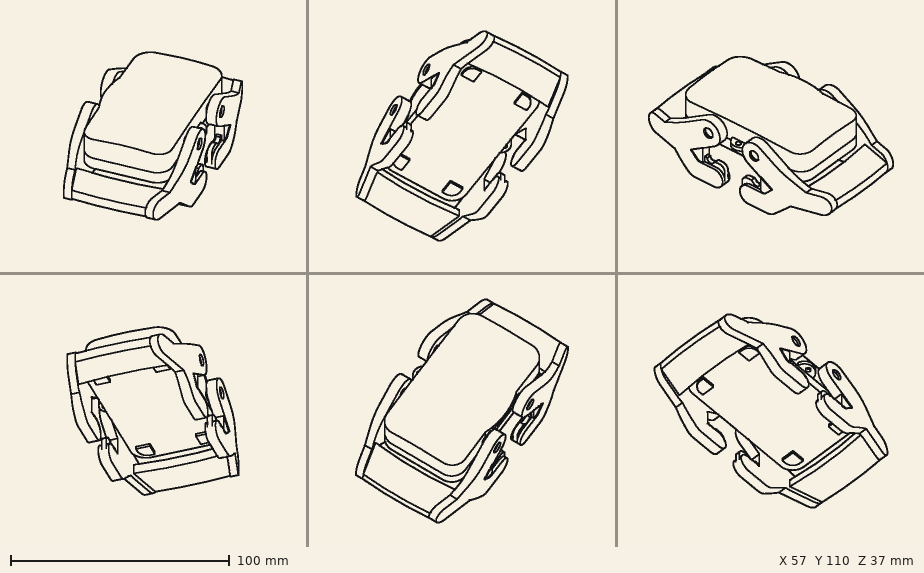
import cadquery as cq
import math


cover_width = 42.9
cover_length = 73.5
corner_radius = 7.5
seam_z = 24.8
base_bottom_z = 19.0
crown_top_z = 37.0
crown_radius_x = 160.6
crown_radius_y = 682.0

lip_depth = 2.2
lip_half_length = 12.8
lip_cove_radius = 4.4
lip_root_z = 29.8

eyelet_radius = 5.1
eyelet_reach = 4.6
eyelet_hole_offset = 1.9
eyelet_hole_diameter = 2.4
eyelet_thickness = 2.0

feet_outer_width = 35.8
feet_inset = (cover_width - feet_outer_width) / 2
feet_outer_length = cover_length - 2 * feet_inset
foot_size = 6.7
foot_corner_radius = 4.7
foot_height = 1.3

hinge_y = 13.5
hinge_z = 29.0
pin_diameter = 4.1
recess_diameter = 5.3
recess_depth = 1.1

boss_radius = 6.9
arm_angle = math.radians(31.5)
handle_radius = 5.2
handle_z = 14.6
handle_end_y = 54.2
hook_tip_y = 5.1
hook_height = 10.1
throat_y = 24.0
heel_fillet = 6.6
heel_slope_bottom_y = 23.6
heel_slope_top_y = 34.3
throat_fillet = 2.2

lever_width = 57.0
lever_wall = 5.1
sweep_angle = math.radians(15.0)
outer_bend_y = 30.1
outer_bend_radius = 35.2
inner_bend_y = 34.4
inner_bend_radius = 33.0

web_thickness = 2.3
web_inset = 1.6
web_top_z = 12.9
web_corner_radius = 3.3
throat_wall_y = 17.2
throat_wall_inset = 0.4
notch_radius = 2.0

bar_thickness = 4.8
bar_inner_y = 38.1
bar_outer_y = 55.0
bar_bow_radius = 220.0

hook_radius = hook_height / 2
oversize = 2 * bar_outer_y


def rounded_block(width, length, radius, bottom, height):
    block = cq.Workplane("XY").workplane(offset=bottom).rect(width, length).extrude(height)
    return block.edges("|Z").fillet(radius)


def crown_envelope():
    """Space under the doubly curved crown: an arc across X swept around an axis parallel to X."""
    half = lever_width / 2
    drop = crown_radius_x - math.sqrt(crown_radius_x**2 - half**2)
    half_sweep = math.degrees(math.asin(cover_length / crown_radius_y))
    profile = (
        cq.Workplane("XZ")
        .moveTo(-half, 0)
        .lineTo(-half, crown_top_z - drop)
        .threePointArc((0, crown_top_z), (half, crown_top_z - drop))
        .lineTo(half, 0)
        .close()
    )
    axis_z = crown_top_z - crown_radius_y
    turned = profile.revolve(2 * half_sweep, (0, axis_z, 0), (1, axis_z, 0))
    return turned.rotate((0, 0, axis_z), (1, 0, axis_z), -half_sweep)


def finger_lip():
    """Bowed lip along the top edge, with a concave cove beneath it."""
    wall_x = -cover_width / 2
    bow = (
        cq.Workplane("XY")
        .moveTo(wall_x, -lip_half_length)
        .threePointArc((wall_x - lip_depth, 0), (wall_x, lip_half_length))
        .close()
        .extrude(crown_top_z)
    )
    cove_x = wall_x - lip_cove_radius
    cove = (
        cq.Workplane("XZ").workplane(offset=-lip_half_length)
        .center(cove_x, lip_root_z)
        .circle(lip_cove_radius)
        .extrude(2 * lip_half_length)
    )
    below = cq.Workplane("XY").box(oversize, oversize, lip_root_z, centered=(True, True, False))
    return bow.cut(cove).cut(below)


def eyelet():
    wall_x = cover_width / 2
    disc_x = wall_x + eyelet_reach - eyelet_radius
    plate = (
        cq.Workplane("XY").workplane(offset=seam_z)
        .center(disc_x, 0)
        .circle(eyelet_radius)
        .extrude(eyelet_thickness)
    )
    hole = (
        cq.Workplane("XY").workplane(offset=seam_z)
        .center(wall_x + eyelet_hole_offset, 0)
        .circle(eyelet_hole_diameter / 2)
        .extrude(eyelet_thickness)
    )
    return plate, hole


def make_cover():
    shell = rounded_block(cover_width, cover_length, corner_radius, seam_z, crown_top_z - seam_z)
    plate, hole = eyelet()
    return shell.union(finger_lip()).intersect(crown_envelope()).union(plate).cut(hole)


def lever_profile():
    """Side outline of a lever in the YZ plane: hinge boss, arm, handle and hook."""
    normal_y = boss_radius * math.sin(arm_angle)
    normal_z = boss_radius * math.cos(arm_angle)
    slope = math.tan(arm_angle)
    handle_top = handle_z + handle_radius
    handle_bottom = handle_z - handle_radius
    handle_root_y = hinge_y + normal_y + (hinge_z + normal_z - handle_top) / slope
    handle_center_y = handle_end_y - handle_radius
    throat_z = hinge_z - normal_z - (throat_y - hinge_y + normal_y) * slope
    throat_floor_y = throat_y - (throat_z - hook_height)
    hook_center_y = hook_tip_y + hook_radius
    outline = (
        cq.Workplane("YZ")
        .moveTo(hinge_y + normal_y, hinge_z + normal_z)
        .lineTo(handle_root_y, handle_top)
        .lineTo(handle_center_y, handle_top)
        .threePointArc((handle_end_y, handle_z), (handle_center_y, handle_bottom))
        .lineTo(heel_slope_top_y, handle_bottom)
        .lineTo(heel_slope_bottom_y, 0)
        .lineTo(hook_center_y, 0)
        .threePointArc((hook_tip_y, hook_radius), (hook_center_y, hook_height))
        .lineTo(throat_floor_y, hook_height)
        .lineTo(throat_y, throat_z)
        .lineTo(hinge_y - normal_y, hinge_z - normal_z)
        .threePointArc(
            (hinge_y - normal_z, hinge_z + normal_y),
            (hinge_y + normal_y, hinge_z + normal_z),
        )
        .close()
        .extrude(lever_width / 2, both=True)
    )
    heel = cq.selectors.NearestToPointSelector((0, heel_slope_bottom_y, 0))
    throat = cq.selectors.NearestToPointSelector((0, throat_floor_y, hook_height))
    return outline.edges(heel).fillet(heel_fillet).edges(throat).fillet(throat_fillet)


def lever_plan(half_width, bend_y, bend_radius):
    """Area between two mirrored wall faces that run straight, then lean inward past a smooth bend."""
    end_x = half_width - (oversize - bend_y) * math.tan(sweep_angle)
    far = [(end_x, oversize), (-end_x, oversize)]
    near = [(-half_width, bend_y), (-half_width, 0), (half_width, 0), (half_width, bend_y)]
    area = cq.Workplane("XY").polyline(near + far).close().extrude(crown_top_z)
    for side in (-1, 1):
        bend = cq.selectors.NearestToPointSelector((side * half_width, bend_y, crown_top_z / 2))
        area = area.edges(bend).fillet(bend_radius)
    return area


def throat_plate(side, inset, thickness):
    """Sketch plane on the inner side of a plate that lies `inset` below the lever's outer face."""
    start_x = lever_width / 2 - inset - thickness
    return cq.Workplane("YZ").workplane(offset=side * start_x)


def catch_web(side):
    """Thin web in the hook throat, with a notch and a 45 degree lead-in for the locking stud."""
    diagonal = notch_radius * math.sqrt(0.5)
    corner_reach = web_corner_radius * (1 - math.sqrt(0.5))
    return (
        throat_plate(side, web_inset, web_thickness)
        .moveTo(hook_tip_y, hook_radius)
        .lineTo(hook_tip_y, web_top_z - web_corner_radius)
        .threePointArc(
            (hook_tip_y + corner_reach, web_top_z - corner_reach),
            (hook_tip_y + web_corner_radius, web_top_z),
        )
        .lineTo(hinge_y - 2 * diagonal, web_top_z)
        .lineTo(hinge_y - diagonal, web_top_z - diagonal)
        .threePointArc(
            (hinge_y + diagonal, web_top_z - diagonal),
            (hinge_y + notch_radius, web_top_z),
        )
        .lineTo(throat_wall_y, web_top_z)
        .lineTo(throat_wall_y, hook_radius)
        .close()
        .extrude(side * web_thickness)
    )


def throat_wall(side):
    """Wall filling the back of the throat, slightly below the outer face of the lever."""
    thickness = lever_wall - throat_wall_inset
    return (
        throat_plate(side, throat_wall_inset, thickness)
        .moveTo(throat_wall_y, hook_radius)
        .lineTo(throat_y, hook_radius)
        .lineTo(throat_y, hinge_z - boss_radius)
        .lineTo(throat_wall_y, hinge_z - boss_radius)
        .close()
        .extrude(side * thickness)
    )


def handle_bar(span_area):
    """Bar bowed in plan; its outer edge has the same rounding as the handle ends."""
    half = bar_thickness / 2
    edge_y = bar_outer_y - handle_radius + math.sqrt(handle_radius**2 - half**2)
    axis_y = bar_outer_y - bar_bow_radius
    half_sweep = math.degrees(math.asin(lever_width / 2 / bar_bow_radius))
    bar = (
        cq.Workplane("YZ")
        .moveTo(bar_inner_y, handle_z - half)
        .lineTo(edge_y, handle_z - half)
        .threePointArc((bar_outer_y, handle_z), (edge_y, handle_z + half))
        .lineTo(bar_inner_y, handle_z + half)
        .close()
        .revolve(2 * half_sweep, (axis_y, 0, 0), (axis_y, 1, 0))
        .rotate((0, axis_y, 0), (0, axis_y, 1), -half_sweep)
    )
    return bar.intersect(span_area)


def hinge_cylinder(diameter, start_x, length):
    return (
        cq.Workplane("YZ").workplane(offset=start_x)
        .center(hinge_y, hinge_z)
        .circle(diameter / 2)
        .extrude(length)
    )


def make_lever():
    """The lever on the +Y side, with the hinge pins that carry it."""
    inner_half = lever_width / 2 - lever_wall
    outer_area = lever_plan(lever_width / 2, outer_bend_y, outer_bend_radius)
    inner_area = lever_plan(inner_half, inner_bend_y, inner_bend_radius)
    lever = lever_profile().intersect(outer_area).cut(inner_area)
    lever = lever.union(handle_bar(inner_area))
    pin_length = inner_half - cover_width / 2
    recess_x = lever_width / 2 - recess_depth
    for side in (-1, 1):
        lever = lever.union(catch_web(side)).union(throat_wall(side))
        lever = lever.union(hinge_cylinder(pin_diameter, side * cover_width / 2, side * pin_length))
        lever = lever.cut(hinge_cylinder(recess_diameter, side * recess_x, side * recess_depth))
    return lever


def make_latched_cover():
    lever = make_lever()
    return make_cover().union(lever).union(lever.mirror("XZ"))


def make_base():
    """Base plate under the cover, with a foot below each corner."""
    height = seam_z - base_bottom_z
    base = rounded_block(cover_width, cover_length, corner_radius, base_bottom_z, height)
    foot_z = base_bottom_z - foot_height
    feet = rounded_block(feet_outer_width, feet_outer_length, foot_corner_radius, foot_z, foot_height)
    gap_x = feet_outer_width - 2 * foot_size
    gap_y = feet_outer_length - 2 * foot_size
    for width, length in ((gap_x, oversize), (oversize, gap_y)):
        gap = cq.Workplane("XY").workplane(offset=foot_z).rect(width, length).extrude(foot_height)
        feet = feet.cut(gap)
    return base.union(feet)


latched_cover = make_latched_cover()
base = make_base()
result = cq.Compound.makeCompound([latched_cover.solids().val(), base.solids().val()])